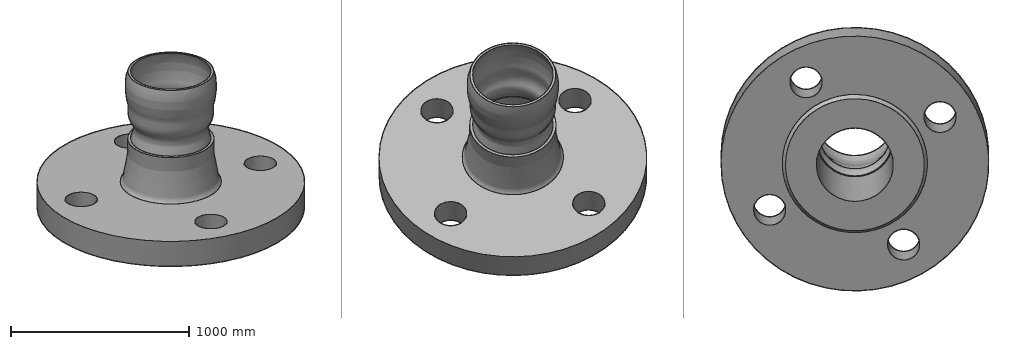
import cadquery as cq
import math

FLANGE_DIA = 1500.0
FLANGE_TOP = 180.0
BORE_DIA = 430.0
FACE_DIA = 813.0
FACE_HEIGHT = 22.0
FACE_BEVEL = 18.0
NECK_DIA = 483.0
NECK_TOP = 450.0
NECK_CONE_TOP = 360.0
NECK_CONE_BOTTOM = 207.0
NECK_CONE_BASE_RADIUS = 268.0
NECK_ROOT_RADIUS = 284.0
BOLT_COUNT = 4
BOLT_HOLE_DIA = 180.0
BOLT_CIRCLE_DIA = 1100.0

WALL = 15.0
SOCKET_TOP = 870.0
SOCKET_RADIUS = 240.0
BULGE_RADIUS = 255.0
THROAT_RADIUS = 210.0
FOOT_RADIUS = 225.0
BULGE_TOP = 802.0
BULGE_BOTTOM = 753.0
BULGE_BLEND = 690.0
SOCKET_HIGH = 658.0
SOCKET_LOW = 618.0
SHOULDER_BLEND = 560.0
THROAT_TOP = 524.0
THROAT_BOTTOM = 510.0
FLARE_TOP = 496.0
FLARE_ARC_WIDTH = 2.1
FOOT_TOP = 456.0


def make_flange():
    """Flange plate, raised face and tapered neck as one turned body with bolt holes."""
    bore = BORE_DIA / 2
    rim = FLANGE_DIA / 2
    face = FACE_DIA / 2
    neck = NECK_DIA / 2
    root_direction = (-1, 1)
    cone_direction = (neck - NECK_CONE_BASE_RADIUS, NECK_CONE_TOP - NECK_CONE_BOTTOM)
    body = (
        cq.Workplane("XZ")
        .moveTo(bore, 0)
        .lineTo(face - FACE_BEVEL, 0)
        .lineTo(face, FACE_HEIGHT)
        .lineTo(rim, FACE_HEIGHT)
        .lineTo(rim, FLANGE_TOP)
        .lineTo(NECK_ROOT_RADIUS, FLANGE_TOP)
        .spline(
            [(NECK_CONE_BASE_RADIUS, NECK_CONE_BOTTOM)],
            tangents=[root_direction, cone_direction],
            includeCurrent=True,
        )
        .lineTo(neck, NECK_CONE_TOP)
        .lineTo(neck, NECK_TOP)
        .lineTo(bore, NECK_TOP)
        .close()
        .revolve(360, (0, 0, 0), (0, 1, 0))
    )
    holes = (
        cq.Workplane("XY")
        .polarArray(BOLT_CIRCLE_DIA / 2, 0, 360, BOLT_COUNT)
        .circle(BOLT_HOLE_DIA / 2)
        .extrude(FLANGE_TOP)
    )
    return body.cut(holes)


def blend_radius(start_radius, end_radius, start_z, blend_z, end_z):
    """Radius at blend_z on an S-curve of two arcs that is vertical at both ends."""
    share = (start_z - blend_z) / (start_z - end_z)
    return start_radius + share * (end_radius - start_radius)


def arc_middle(vertical_end, other_end):
    """Middle point of the arc that leaves vertical_end vertically and reaches other_end."""
    width = other_end[0] - vertical_end[0]
    height = other_end[1] - vertical_end[1]
    angle = 2 * math.atan2(abs(width), abs(height))
    radius = abs(height) / math.sin(angle)
    middle_width = math.copysign(radius * (1 - math.cos(angle / 2)), width)
    middle_height = math.copysign(radius * math.sin(angle / 2), height)
    return (vertical_end[0] + middle_width, vertical_end[1] + middle_height)


def turn_socket(inset):
    """Solid turned to the socket's outer outline with every radius reduced by inset."""
    rim_radius = SOCKET_RADIUS - inset
    bulge_radius = BULGE_RADIUS - inset
    throat_radius = THROAT_RADIUS - inset
    foot_radius = FOOT_RADIUS - inset

    rim = (rim_radius, SOCKET_TOP)
    bulge_top = (bulge_radius, BULGE_TOP)
    bulge_bottom = (bulge_radius, BULGE_BOTTOM)
    bulge_blend = (
        blend_radius(bulge_radius, rim_radius, BULGE_BOTTOM, BULGE_BLEND, SOCKET_HIGH),
        BULGE_BLEND,
    )
    socket_high = (rim_radius, SOCKET_HIGH)
    socket_low = (rim_radius, SOCKET_LOW)
    shoulder_blend = (
        blend_radius(rim_radius, throat_radius, SOCKET_LOW, SHOULDER_BLEND, THROAT_TOP),
        SHOULDER_BLEND,
    )
    throat_top = (throat_radius, THROAT_TOP)
    throat_bottom = (throat_radius, THROAT_BOTTOM)
    flare_top = (throat_radius + FLARE_ARC_WIDTH, FLARE_TOP)

    return (
        cq.Workplane("XZ")
        .moveTo(0, SOCKET_TOP)
        .lineTo(*rim)
        .threePointArc(arc_middle(bulge_top, rim), bulge_top)
        .lineTo(*bulge_bottom)
        .threePointArc(arc_middle(bulge_bottom, bulge_blend), bulge_blend)
        .threePointArc(arc_middle(socket_high, bulge_blend), socket_high)
        .lineTo(*socket_low)
        .threePointArc(arc_middle(socket_low, shoulder_blend), shoulder_blend)
        .threePointArc(arc_middle(throat_top, shoulder_blend), throat_top)
        .lineTo(*throat_bottom)
        .threePointArc(arc_middle(throat_bottom, flare_top), flare_top)
        .lineTo(foot_radius, FOOT_TOP)
        .lineTo(foot_radius, NECK_TOP)
        .lineTo(0, NECK_TOP)
        .close()
        .revolve(360, (0, 0, 0), (0, 1, 0))
    )


def make_socket():
    """Socket of constant radial wall: the outer turned shape less the same shape made smaller."""
    return turn_socket(0).cut(turn_socket(WALL))


flange = make_flange()
socket = make_socket()
result = cq.Compound.makeCompound([flange.val(), socket.val()])